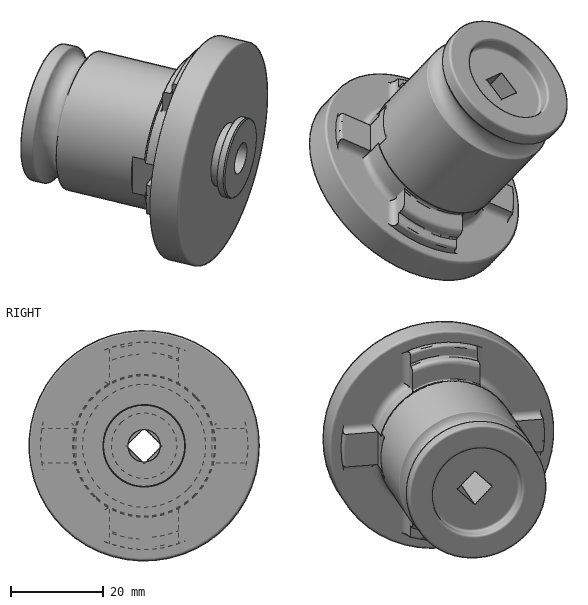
import cadquery as cq
import math

OVERALL_LENGTH = 45.5

TOLERANCE = 0.0005

LIP_RADIUS = 30.5 / 2
BARREL_RADIUS = 31.0 / 2
BARREL_END = 29.3
NECK_RADIUS = 30.5 / 2
LIP_FILLET = 0.5
BARREL_EDGE_FILLET = 0.25

GROOVE_CENTER_X = 5.85
GROOVE_FLOOR_RADIUS = 13.35
GROOVE_ARC_RADIUS = 2.8

FLANGE_RADIUS = 50.0 / 2
FLANGE_FRONT = 34.5
FLANGE_BACK = 41.5
FLANGE_FILLET = 0.5
ROOT_FILLET = 1.4
ROOT_FILLET_START = FLANGE_FRONT - ROOT_FILLET
ROOT_FILLET_BULGE = ROOT_FILLET * (1 - math.sqrt(0.5))

STUB_RADIUS = 14.2 / 2
CAP_RADIUS = 17.9 / 2
CAP_FRONT = 43.75
CAP_CHAMFER_LENGTH = 0.35
CAP_CHAMFER_DEPTH = 0.15

RECESS_RADIUS = 20.1 / 2
RECESS_DEPTH = 3.0
RECESS_FILLET = 0.5
SOCKET_SIDE = 5.5
REAR_BORE_RADIUS = 7.0 / 2

LUG_FRONT = 32.55
LUG_OUTER_RADIUS = 22.5
LUG_EDGE_FILLET = 0.5
NARROW_LUG_WIDTH = 7.5
WIDE_LUG_WIDTH = 15.0
STEP_FRONT = 30.25
STEP_OUTER_RADIUS = 19.9
STEP_EDGE_FILLET = 1.0
STEP_ROOT_FILLET = 0.35
STEP_FOOT_FILLET = 0.3

FLAT_START = 26.3
FLAT_DISTANCE = 14.75


def disc(radius, start, end):
    """Solid cylinder on the X axis between two stations."""
    return cq.Workplane("YZ", origin=(start, 0, 0)).circle(radius).extrude(end - start)


def rims(body, radius, station=None):
    """Arcs of one radius about the X axis, at one station or, without it, at all of them."""
    def matches(edge):
        center = edge.arcCenter()
        on_axis = math.hypot(center.y, center.z) < TOLERANCE
        at_station = station is None or abs(center.x - station) < TOLERANCE
        return on_axis and at_station and abs(edge.radius() - radius) < TOLERANCE

    arcs = body.edges("%CIRCLE").vals()
    return body.newObject([arc for arc in arcs if matches(arc)])


def make_barrel():
    barrel = disc(LIP_RADIUS, 0, GROOVE_CENTER_X).union(disc(BARREL_RADIUS, GROOVE_CENTER_X, BARREL_END))
    groove = cq.Solid.makeTorus(
        GROOVE_FLOOR_RADIUS + GROOVE_ARC_RADIUS,
        GROOVE_ARC_RADIUS,
        cq.Vector(GROOVE_CENTER_X, 0, 0),
        cq.Vector(1, 0, 0),
    )
    barrel = barrel.cut(cq.Workplane(groove))
    barrel = rims(barrel, LIP_RADIUS).fillet(LIP_FILLET)
    return rims(barrel, BARREL_RADIUS).fillet(BARREL_EDGE_FILLET)


def make_neck():
    """Neck that runs into the flange with a concave root fillet."""
    mid_x = FLANGE_FRONT - ROOT_FILLET_BULGE
    mid_radius = NECK_RADIUS + ROOT_FILLET_BULGE
    return (
        cq.Workplane("XY")
        .moveTo(FLAT_START, 0)
        .vLineTo(NECK_RADIUS)
        .hLineTo(ROOT_FILLET_START)
        .threePointArc((mid_x, mid_radius), (FLANGE_FRONT, NECK_RADIUS + ROOT_FILLET))
        .hLineTo(FLANGE_BACK)
        .vLineTo(0)
        .close()
        .revolve(360, (0, 0), (1, 0))
    )


def make_flange():
    return disc(FLANGE_RADIUS, FLANGE_FRONT, FLANGE_BACK).edges().fillet(FLANGE_FILLET)


def make_stub():
    cap = (
        cq.Workplane("XY")
        .moveTo(CAP_FRONT, 0)
        .vLineTo(CAP_RADIUS)
        .hLineTo(OVERALL_LENGTH - CAP_CHAMFER_LENGTH)
        .lineTo(OVERALL_LENGTH, CAP_RADIUS - CAP_CHAMFER_DEPTH)
        .vLineTo(0)
        .close()
        .revolve(360, (0, 0), (1, 0))
    )
    return disc(STUB_RADIUS, FLANGE_BACK, CAP_FRONT).union(cap)


def make_lug_pair(width):
    """Two opposite lugs on +-Y, flared at the foot by the root fillet."""
    half_width = width / 2
    foot = half_width + ROOT_FILLET
    mid_x = FLANGE_FRONT - ROOT_FILLET_BULGE
    mid_half_width = half_width + ROOT_FILLET_BULGE
    bar = (
        cq.Workplane("XZ")
        .moveTo(LUG_FRONT, -half_width)
        .vLineTo(half_width)
        .hLineTo(ROOT_FILLET_START)
        .threePointArc((mid_x, mid_half_width), (FLANGE_FRONT, foot))
        .hLineTo(FLANGE_BACK - FLANGE_FILLET)
        .vLineTo(-foot)
        .hLineTo(FLANGE_FRONT)
        .threePointArc((mid_x, -mid_half_width), (ROOT_FILLET_START, -half_width))
        .close()
        .extrude(LUG_OUTER_RADIUS, both=True)
    )
    lugs = bar.intersect(disc(LUG_OUTER_RADIUS, LUG_FRONT, FLANGE_BACK))
    return rims(lugs, LUG_OUTER_RADIUS, LUG_FRONT).fillet(LUG_EDGE_FILLET)


def make_step_pair():
    """Raised inner steps of the wide lugs, on +-Y."""
    bar = cq.Workplane("XY").box(FLANGE_FRONT - STEP_FRONT, 2 * STEP_OUTER_RADIUS, WIDE_LUG_WIDTH)
    bar = bar.translate(((STEP_FRONT + FLANGE_FRONT) / 2, 0, 0))
    steps = bar.intersect(disc(STEP_OUTER_RADIUS, STEP_FRONT, FLANGE_FRONT))
    return rims(steps, STEP_OUTER_RADIUS, STEP_FRONT).fillet(STEP_EDGE_FILLET)


def make_step_feet():
    """Neck core with the steps on it, blended where they stand on the neck."""
    core = disc(NECK_RADIUS, STEP_FRONT - 2 * STEP_FOOT_FILLET, FLANGE_FRONT)
    feet = core.union(make_step_pair())
    neck_zone = cq.selectors.BoxSelector(
        (STEP_FRONT, -NECK_RADIUS, -NECK_RADIUS),
        (FLANGE_FRONT, NECK_RADIUS, NECK_RADIUS),
    )
    side_seams = feet.edges("|X").edges(neck_zone)
    seams = rims(feet, NECK_RADIUS, STEP_FRONT).add(side_seams)
    return seams.fillet(STEP_FOOT_FILLET)


def make_wide_lugs():
    """Stepped lugs, built on +-Y and turned to +-Z."""
    lugs = make_lug_pair(WIDE_LUG_WIDTH).union(make_step_feet())
    lugs = rims(lugs, STEP_OUTER_RADIUS, LUG_FRONT).fillet(STEP_ROOT_FILLET)
    return lugs.rotate((0, 0, 0), (1, 0, 0), 90)


def cut_flats(body):
    length = LUG_FRONT - FLAT_START
    depth = BARREL_RADIUS
    for side in (-1, 1):
        block = cq.Workplane("XY").box(length, depth, 2 * BARREL_RADIUS)
        center = (FLAT_START + length / 2, side * (FLAT_DISTANCE + depth / 2), 0)
        body = body.cut(block.translate(center))
    return body


def cut_openings(body):
    recess = disc(RECESS_RADIUS, 0, RECESS_DEPTH).faces(">X").edges().fillet(RECESS_FILLET)
    socket = (
        cq.Workplane("YZ", origin=(RECESS_DEPTH, 0, 0))
        .transformed(rotate=(0, 0, 45))
        .rect(SOCKET_SIDE, SOCKET_SIDE)
        .extrude(FLANGE_FRONT - RECESS_DEPTH)
    )
    bore = disc(REAR_BORE_RADIUS, FLANGE_FRONT, OVERALL_LENGTH)
    body = body.cut(recess).cut(socket).cut(bore)
    return rims(body, RECESS_RADIUS, 0).fillet(RECESS_FILLET)


body = make_barrel().union(make_neck()).union(make_flange()).union(make_stub())
body = cut_flats(body.union(make_wide_lugs()))
body = body.union(make_lug_pair(NARROW_LUG_WIDTH))
result = cut_openings(body)